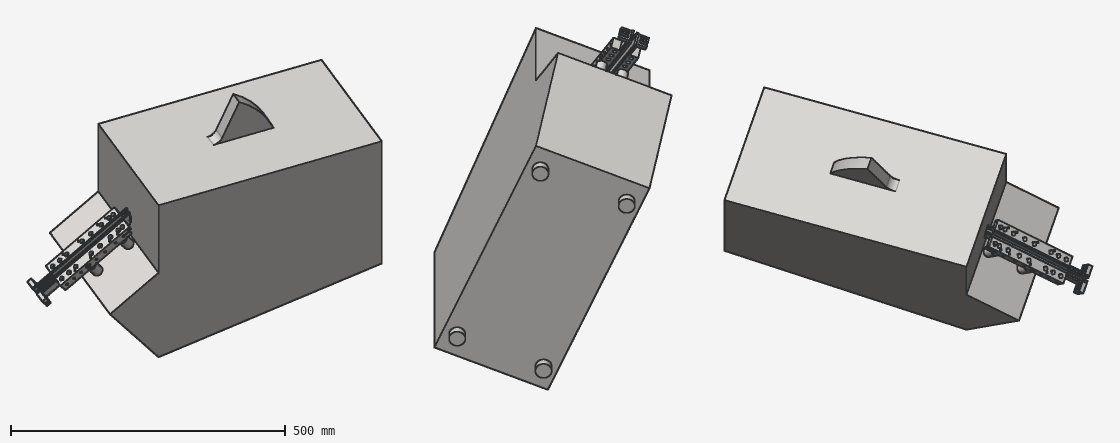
import cadquery as cq
import math


OVERALL_LENGTH = 660.5

HOUSING_WIDTH = 225.0
FRONT_WALL_TOP = 420.0
ROOF_ANGLE = 10.0
NOSE_ANGLE = 30.0
NOSE_REACH = 101.0

FOOT_DIAMETER = 30.0
FOOT_HEIGHT = 16.0
FOOT_SIDE_INSET = 27.0
FOOT_END_INSET = 42.0

FIN_WIDTH = 22.5
FIN_BACK_Y = 296.0
FIN_ARC_Y, FIN_ARC_Z = 262.0, 436.0
FIN_TIP_Y, FIN_TIP_Z = 224.5, 479.0
FIN_FRONT_Y = 183.5
FIN_FILLET = 16.5
FIN_ROOT = 13.0

RAIL_CENTRE_Z = 278.0
RAIL_STAGGER = 0.5
STRIP_GAP = 6.0
STRIP_THICKNESS = 4.0
STRIP_HEIGHT = 26.5
STRIP_END = 218.0
STRIP_SLOT_HEIGHT = 4.5
BLOCK_OUTER_X = 27.0
BLOCK_HEIGHT = 21.0
BLOCK_START = 10.0
BLOCK_END = 175.0
LOWER_LIP_START = 15.0
WEB_OUTER_X = 10.5
WEB_TOP = 7.0
TAB_START = 210.0
TAB_END = 219.0
TAB_NOTCH_DEPTH = 16.0
TAB_NOTCH_BOTTOM, TAB_NOTCH_TOP = -5.0, -0.5
TAB_WINDOW_INNER_X, TAB_WINDOW_OUTER_X = 11.0, 23.0
TAB_WINDOW_BOTTOM, TAB_WINDOW_TOP = 3.0, 7.0

STATIONS = [20.0, 29.0, 48.0, 73.0, 94.5, 131.5, 148.0, 165.0]
MARKED_STATIONS = [29.0, 48.0, 94.5, 131.5]
STATION_X = 16.5
TOP_HOLE_DIAMETER = 8.0
SIDE_HOLE_DIAMETER = 4.4
MARK_DIAMETER = 3.0
MARK_OFFSET = 5.0
MARK_DEPTH = 3.0
CLAMP_RUN, CLAMP_DIAMETER = 14.5, 8.0
PIVOT_RUN, PIVOT_DIAMETER, PIVOT_BORE = 113.5, 10.0, 4.9
RECESS_DEPTH = 3.0
SLIT_HEIGHT = 1.0
SLIT_END = 28.0

POST_DIAMETER = 20.0
POST_X = 21.0
POST_RUNS = [35.0, 109.5]

PAD_WIDTH = 22.0
PAD_THICKNESS = 1.0
PAD_BOTTOM, PAD_TOP = 272.0, 287.5
SPACER_END = 8.5
SPACER_TOP = 10.0
SPACER_HEIGHT = 16.5

RUN_BEHIND_WALL = 20.0

SLOPE_COS = math.cos(math.radians(NOSE_ANGLE))
SLOPE_SIN = math.sin(math.radians(NOSE_ANGLE))
RAIL_TIP_REACH = STRIP_END * SLOPE_COS + (STRIP_HEIGHT / 2 + RAIL_STAGGER) * SLOPE_SIN
HOUSING_DEPTH = OVERALL_LENGTH - RAIL_TIP_REACH
NOSE_TIP_Z = NOSE_REACH * SLOPE_COS / SLOPE_SIN
DECK_TOP_Z = NOSE_TIP_Z + NOSE_REACH * SLOPE_SIN / SLOPE_COS
DECK_H = (DECK_TOP_Z - RAIL_CENTRE_Z) * SLOPE_COS
STRIP_INNER_X = STRIP_GAP / 2
STRIP_OUTER_X = STRIP_INNER_X + STRIP_THICKNESS


def roof_z(y):
    return FRONT_WALL_TOP - y * math.tan(math.radians(ROOF_ANGLE))


def on_slope(part):
    """Tilt a part built along (x, -s, h) onto the rail slope."""
    return part.rotate((0, 0, 0), (1, 0, 0), NOSE_ANGLE).translate((0, 0, RAIL_CENTRE_Z))


def bar(side, x_range, run_range, h_range):
    """Box between two x distances from the centre plane, two runs and two heights."""
    (x0, x1), (s0, s1), (h0, h1) = x_range, run_range, h_range
    centre = (side * (x0 + x1) / 2, -(s0 + s1) / 2, (h0 + h1) / 2)
    return cq.Workplane("XY").box(x1 - x0, s1 - s0, h1 - h0).translate(centre)


def centred(height):
    return (-height / 2, height / 2)


def make_shell():
    profile = [
        (0, 0), (-NOSE_REACH, NOSE_TIP_Z), (0, DECK_TOP_Z), (0, FRONT_WALL_TOP),
        (HOUSING_DEPTH, roof_z(HOUSING_DEPTH)), (HOUSING_DEPTH, 0),
    ]
    return cq.Workplane("YZ").polyline(profile).close().extrude(HOUSING_WIDTH / 2, both=True)


def make_fin():
    base_z = roof_z(FIN_BACK_Y) - FIN_ROOT
    return (
        cq.Workplane("YZ")
        .moveTo(FIN_BACK_Y, base_z)
        .lineTo(FIN_BACK_Y, roof_z(FIN_BACK_Y))
        .threePointArc((FIN_ARC_Y, FIN_ARC_Z), (FIN_TIP_Y, FIN_TIP_Z))
        .lineTo(FIN_FRONT_Y, roof_z(FIN_FRONT_Y))
        .lineTo(FIN_FRONT_Y, base_z)
        .close()
        .extrude(FIN_WIDTH / 2, both=True)
    )


def make_feet():
    x = HOUSING_WIDTH / 2 - FOOT_SIDE_INSET
    places = [(sx * x, y) for sx in (-1, 1) for y in (FOOT_END_INSET, HOUSING_DEPTH - FOOT_END_INSET)]
    return cq.Workplane("XY").pushPoints(places).circle(FOOT_DIAMETER / 2).extrude(-FOOT_HEIGHT)


def make_post(side, run):
    top = -BLOCK_HEIGHT / 2 - side * RAIL_STAGGER
    post = (
        cq.Workplane("XY", origin=(side * POST_X, -run, DECK_H))
        .circle(POST_DIAMETER / 2).extrude(top - DECK_H)
    )
    return on_slope(post)


def make_housing():
    housing = make_shell().union(make_fin())
    fin_foot = (0, FIN_FRONT_Y, roof_z(FIN_FRONT_Y))
    housing = housing.edges(cq.selectors.NearestToPointSelector(fin_foot)).fillet(FIN_FILLET)
    housing = housing.union(make_feet())
    for side in (-1, 1):
        for run in POST_RUNS:
            housing = housing.union(make_post(side, run))
    return housing


def side_hole(side, run, diameter, depth):
    return (
        cq.Workplane("YZ", origin=(side * BLOCK_OUTER_X, -run, 0))
        .circle(diameter / 2).extrude(-side * depth)
    )


def top_hole(x, run, diameter, depth):
    return (
        cq.Workplane("XY", origin=(x, -run, BLOCK_HEIGHT / 2))
        .circle(diameter / 2).extrude(-depth)
    )


def make_block_body(side):
    """Main length of a block, slit along its mid height at the wall end."""
    half_height = BLOCK_HEIGHT / 2
    half_slit = SLIT_HEIGHT / 2
    profile = [
        (-BLOCK_START, half_height), (-BLOCK_END, half_height),
        (-BLOCK_END, -half_height), (-LOWER_LIP_START, -half_height),
        (-LOWER_LIP_START, -half_slit), (-SLIT_END, -half_slit),
        (-SLIT_END, half_slit), (-BLOCK_START, half_slit),
    ]
    return (
        cq.Workplane("YZ", origin=(side * STRIP_OUTER_X, 0, 0))
        .polyline(profile).close().extrude(side * (BLOCK_OUTER_X - STRIP_OUTER_X))
    )


def make_block(side):
    width = BLOCK_OUTER_X - STRIP_OUTER_X
    tab_runs = (TAB_START, TAB_END)
    web = bar(side, (STRIP_OUTER_X, WEB_OUTER_X), (BLOCK_END, TAB_START), (-BLOCK_HEIGHT / 2, WEB_TOP))
    tab = bar(side, (STRIP_OUTER_X, BLOCK_OUTER_X), tab_runs, centred(BLOCK_HEIGHT))
    block = make_block_body(side).union(web).union(tab)
    for run in STATIONS:
        block = block.cut(top_hole(side * STATION_X, run, TOP_HOLE_DIAMETER, BLOCK_HEIGHT))
    for run in STATIONS[1:]:
        block = block.cut(side_hole(side, run, SIDE_HOLE_DIAMETER, width))
    for run in MARKED_STATIONS:
        x = side * (STATION_X + MARK_OFFSET)
        block = block.cut(top_hole(x, run + MARK_OFFSET, MARK_DIAMETER, MARK_DEPTH))
    block = block.cut(side_hole(side, CLAMP_RUN, CLAMP_DIAMETER, RECESS_DEPTH))
    block = block.cut(side_hole(side, PIVOT_RUN, PIVOT_DIAMETER, RECESS_DEPTH))
    block = block.cut(side_hole(side, PIVOT_RUN, PIVOT_BORE, width))
    notch = bar(side, (BLOCK_OUTER_X - TAB_NOTCH_DEPTH, BLOCK_OUTER_X), tab_runs,
                (TAB_NOTCH_BOTTOM, TAB_NOTCH_TOP))
    window = bar(side, (TAB_WINDOW_INNER_X, TAB_WINDOW_OUTER_X), tab_runs,
                 (TAB_WINDOW_BOTTOM, TAB_WINDOW_TOP))
    return block.cut(notch).cut(window)


def make_strip(side):
    strip = bar(side, (STRIP_INNER_X, STRIP_OUTER_X), (-RUN_BEHIND_WALL, STRIP_END), centred(STRIP_HEIGHT))
    slot_h = (WEB_TOP, WEB_TOP + STRIP_SLOT_HEIGHT)
    slot = bar(side, (STRIP_INNER_X, STRIP_OUTER_X), (BLOCK_END, TAB_START), slot_h)
    return strip.cut(slot)


def seat(part, side):
    """Stagger a rail part and tilt it onto the slope."""
    return on_slope(part.translate((0, 0, -side * RAIL_STAGGER)))


def make_spacer(shell):
    tongue = bar(1, (-STRIP_INNER_X, STRIP_INNER_X), (-RUN_BEHIND_WALL, SPACER_END),
                 (SPACER_TOP - SPACER_HEIGHT, SPACER_TOP))
    pad = (
        cq.Workplane("XY")
        .box(PAD_WIDTH, PAD_THICKNESS, PAD_TOP - PAD_BOTTOM)
        .translate((0, -PAD_THICKNESS / 2, (PAD_TOP + PAD_BOTTOM) / 2))
    )
    return on_slope(tongue).cut(shell).union(pad)


shell = make_shell()
housing = make_housing()
spacer = make_spacer(shell)
bodies = [housing.solids().val(), spacer.solids().val()]
for side in (-1, 1):
    block = seat(make_block(side), side)
    strip = seat(make_strip(side), side).cut(shell).cut(spacer)
    bodies += [block.solids().val(), strip.solids().val()]

result = cq.Compound.makeCompound(bodies)